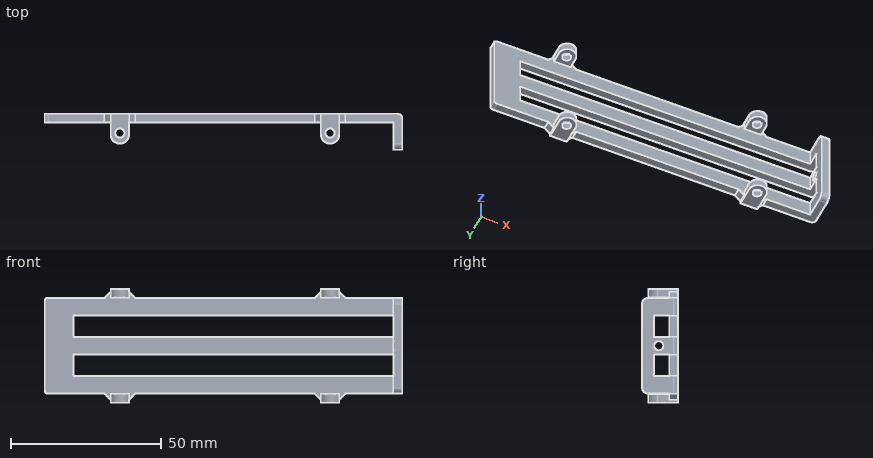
import cadquery as cq

length = 119.0
depth = 12.0
thickness = 3.0
rail_height = 6.0
slot_height = 7.0
plate_height = 3 * rail_height + 2 * slot_height
left_corner_radius = 1.0
bend_radius = 1.5
flange_corner_radius = 2.0

slot_start = 9.6
slot_depth = 8.0
slot_spacing = rail_height + slot_height

hole_diameter = 3.0
flange_hole_depth = 6.4

lug_positions = (25.0, 95.0)
lug_width = 6.2
lug_radius = lug_width / 2
lug_reach = 10.0
lug_hole_depth = 6.4
lug_thickness = 3.0
overall_height = 38.0
gusset_size = 2.0


def box(x_start, x_end, y_start, y_end, z_start, z_end):
    """Box between two opposite corners."""
    size = (x_end - x_start, y_end - y_start, z_end - z_start)
    return cq.Workplane("XY").box(*size, centered=False).translate((x_start, y_start, z_start))


def make_frame():
    """L-shaped plate and flange with rounded corners and bend."""
    half_height = plate_height / 2
    plate = box(0, length, -thickness, 0, -half_height, half_height)
    plate = plate.edges("|Y and <X").fillet(left_corner_radius)
    flange = box(length - thickness, length, -depth, 0, -half_height, half_height)
    flange = flange.edges("|X and <Y").fillet(flange_corner_radius)
    return plate.union(flange).edges("|Z and >X and >Y").fillet(bend_radius)


def make_slot(z_center):
    """Cutter for one slot, open through the plate and the flange."""
    return box(
        slot_start, length, -slot_depth, 0,
        z_center - slot_height / 2, z_center + slot_height / 2,
    )


def make_upper_lug(x_center):
    """Round-ended lug with a vertical hole and a 45 degree gusset on each side."""
    top = overall_height / 2
    round_center = lug_radius - lug_reach
    lug = (
        cq.Workplane("XY", origin=(x_center, 0, top - lug_thickness))
        .moveTo(-lug_radius, 0)
        .lineTo(-lug_radius, round_center)
        .threePointArc((0, -lug_reach), (lug_radius, round_center))
        .lineTo(lug_radius, 0)
        .close()
        .extrude(lug_thickness)
    )
    plate_top = plate_height / 2
    gussets = (
        cq.Workplane("XZ", origin=(x_center, 0, plate_top))
        .moveTo(-lug_radius - gusset_size, 0)
        .lineTo(-lug_radius, gusset_size)
        .lineTo(lug_radius, gusset_size)
        .lineTo(lug_radius + gusset_size, 0)
        .close()
        .extrude(thickness)
    )
    hole = (
        cq.Workplane("XY", origin=(x_center, -lug_hole_depth, top - lug_thickness))
        .circle(hole_diameter / 2)
        .extrude(lug_thickness)
    )
    return lug.union(gussets).cut(hole)


result = make_frame()

for slot_center in (-slot_spacing / 2, slot_spacing / 2):
    result = result.cut(make_slot(slot_center))

flange_hole = (
    cq.Workplane("YZ", origin=(length - thickness, -flange_hole_depth, 0))
    .circle(hole_diameter / 2)
    .extrude(thickness)
)
result = result.cut(flange_hole)

for lug_center in lug_positions:
    upper_lug = make_upper_lug(lug_center)
    result = result.union(upper_lug).union(upper_lug.mirror("XY"))